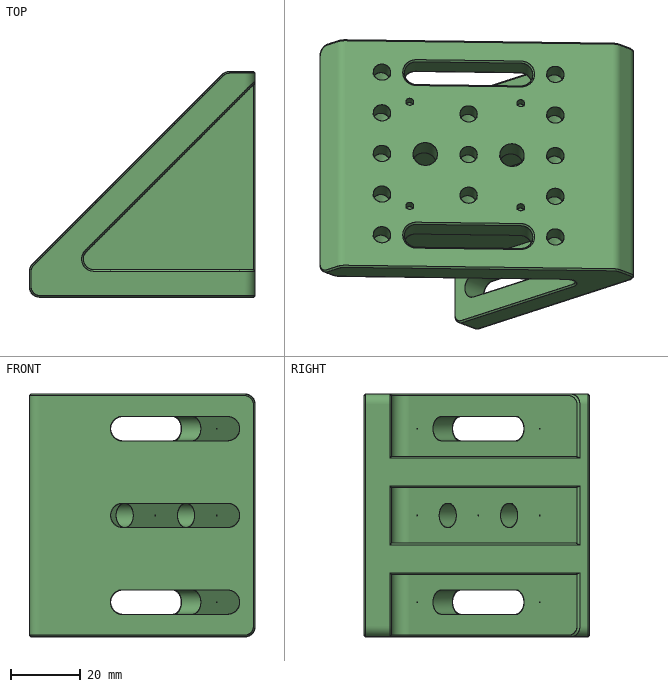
import cadquery as cq
import math

width = 65.0
height = 70.0
mid_z = height / 2

flat_plate = 8.0
sloped_plate = 8.5
nose_height = 8.7
corner_radius = 3.0
edge_chamfer = 0.5

web_thickness = 9.0
web_gap = 15.95

pitch = 25.0
half_pitch = pitch / 2
pattern_y = 39.0

slot_width = 7.0
flat_slot_length = 37.2
flat_slot_x = 42.0
sloped_slot_length = 37.0
slot_rim_chamfer = 0.5

tapped_diameter = 5.0
through_diameter = 7.0
pin_diameter = 2.2
pin_spacing = 32.0
pin_shift = 1.0
pin_depth = 4.2
tip_angle = 118.0
tip_breakthrough = 0.1

slope_offset_y = sloped_plate * math.sqrt(2)
inner_corner_x = flat_plate + slope_offset_y - nose_height
inner_end_y = width + nose_height - slope_offset_y

sloped_face = cq.Plane(
    origin=(pattern_y - nose_height, pattern_y, mid_z),
    xDir=(1, 1, 0),
    normal=(-1, 1, 0),
)


def plates():
    """V-shaped profile with its upright corners and end corners rounded."""
    profile = [
        (0, 0),
        (width, 0),
        (width, flat_plate),
        (inner_corner_x, flat_plate),
        (width, inner_end_y),
        (width, width),
        (width - nose_height, width),
        (0, nose_height),
    ]
    body = cq.Workplane("XY").polyline(profile).close().extrude(height)
    rounded = [(0, 0), (inner_corner_x, flat_plate), (width - nose_height, width), (0, nose_height)]
    for x, y in rounded:
        body = body.edges(cq.NearestToPointSelector((x, y, mid_z))).fillet(corner_radius)
    return body.faces(">X").edges("|Y").fillet(corner_radius)


def web(bottom_z):
    """Triangle that fills the space between the plates, flush with their ends."""
    triangle = [(inner_corner_x, flat_plate), (width, flat_plate), (width, inner_end_y)]
    return cq.Workplane("XY", origin=(0, 0, bottom_z)).polyline(triangle).close().extrude(web_thickness)


def bracket_body():
    """Plates and webs together, with chamfered rims on the +Z, -Z and +X faces."""
    upper_web = web(mid_z + web_gap / 2)
    lower_web = web(mid_z - web_gap / 2 - web_thickness)
    body = plates().union(upper_web).union(lower_web)
    return body.faces(">Z or <Z or >X").edges().chamfer(edge_chamfer)


def flat_slots():
    """Three slots along X through the flat plate."""
    centres = [(flat_slot_x, mid_z + row * pitch) for row in (-1, 0, 1)]
    slots = cq.Workplane("XZ").pushPoints(centres).slot2D(flat_slot_length, slot_width)
    return slots.extrude(-flat_plate)


def sloped_slots():
    """Two slots through the sloped plate with a chamfered outer rim."""
    base = cq.Workplane(sloped_face).pushPoints([(0, -pitch), (0, pitch)])
    slots = base.slot2D(sloped_slot_length, slot_width).extrude(-sloped_plate)
    rim_growth = 2 * slot_rim_chamfer
    rims = base.slot2D(sloped_slot_length + rim_growth, slot_width + rim_growth)
    return slots.union(rims.extrude(-slot_rim_chamfer, taper=45))


def through_holes():
    """Two clearance holes on the middle row of the sloped plate."""
    base = cq.Workplane(sloped_face).pushPoints([(-half_pitch, 0), (half_pitch, 0)])
    return base.circle(through_diameter / 2).extrude(-sloped_plate)


def drilled_hole(x, y, diameter, tip_depth):
    """Blind hole at a point of the sloped face, ending in a conical drill tip."""
    radius = diameter / 2
    tip_length = radius / math.tan(math.radians(tip_angle / 2))
    wall_depth = tip_depth - tip_length
    inward = cq.Vector(0, 0, -1)
    bore = cq.Solid.makeCylinder(radius, wall_depth, cq.Vector(x, y, 0), inward)
    tip = cq.Solid.makeCone(radius, 0, tip_length, cq.Vector(x, y, -wall_depth), inward)
    return bore.fuse(tip).moved(cq.Location(sloped_face))


def tapped_holes():
    """Outer columns of five holes and a middle column of three."""
    points = [(side * pitch, row * half_pitch) for side in (-1, 1) for row in (-2, -1, 0, 1, 2)]
    points += [(0, row * half_pitch) for row in (-1, 0, 1)]
    return [drilled_hole(x, y, tapped_diameter, sloped_plate + tip_breakthrough) for x, y in points]


def pin_holes():
    """Square of four small holes, set slightly up the slope."""
    reach = pin_spacing / 2
    points = [(pin_shift + x, y) for x in (-reach, reach) for y in (-reach, reach)]
    return [drilled_hole(x, y, pin_diameter, pin_depth) for x, y in points]


result = bracket_body().cut(flat_slots()).cut(sloped_slots()).cut(through_holes())
for hole in tapped_holes() + pin_holes():
    result = result.cut(cq.Workplane(hole))